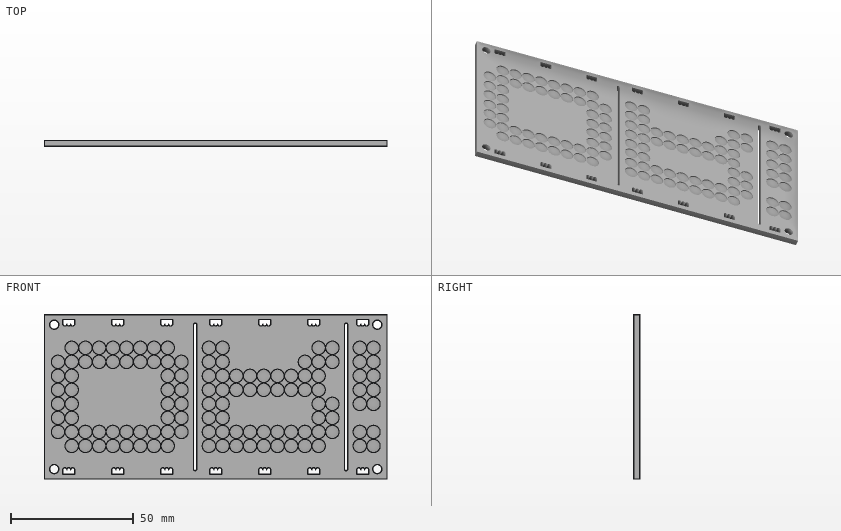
import cadquery as cq

LENGTH = 140.0
THICKNESS = 2.5
HEIGHT = 67.0

HOLE_DIAMETER = 3.6
HOLE_EDGE_DISTANCE = 4.0

RECESS_DIAMETER = 5.5
RECESS_DEPTH = 0.5
COLUMN_PITCH = 5.6
ROW_SPAN = 40.0

RECESS_MAP = [
    ".oooooooo.|oo......oo|oo",
    "oooooooooo|oo.....ooo|oo",
    "oo......oo|ooooooooo.|oo",
    "oo......oo|ooooooooo.|oo",
    "oo......oo|oo......oo|oo",
    "oo......oo|oo......oo|..",
    "oooooooooo|oooooooooo|oo",
    ".oooooooo.|ooooooooo.|oo",
]

SLOT_WIDTH = 1.3
SLOT_LENGTH = 60.2

WINDOW_COUNT = 7
WINDOW_PITCH = LENGTH / WINDOW_COUNT
WINDOW_WIDTH = 4.8
WINDOW_STRAIGHT_HEIGHT = 1.8
WINDOW_EDGE_DISTANCE = 2.0
LOBE_COUNT = 3


def front_plane():
    """Sketch plane on the front face: local x is X, local y is Z, the normal is -Y."""
    return cq.Workplane("XZ", origin=(0, -THICKNESS / 2, 0))


def column_x(column):
    last_column = len(RECESS_MAP[0]) - 1
    return (column - last_column / 2) * COLUMN_PITCH


def row_z(row):
    last_row = len(RECESS_MAP) - 1
    return ROW_SPAN / 2 - row * ROW_SPAN / last_row


def grid_points(mark):
    """Centres of all grid places that carry the given mark."""
    return [
        (column_x(column), row_z(row))
        for row, line in enumerate(RECESS_MAP)
        for column, place in enumerate(line)
        if place == mark
    ]


def corner_holes():
    spacing_x = LENGTH - 2 * HOLE_EDGE_DISTANCE
    spacing_z = HEIGHT - 2 * HOLE_EDGE_DISTANCE
    return (
        front_plane()
        .rect(spacing_x, spacing_z, forConstruction=True)
        .vertices()
        .circle(HOLE_DIAMETER / 2)
        .extrude(-THICKNESS)
    )


def recesses():
    return front_plane().pushPoints(grid_points("o")).circle(RECESS_DIAMETER / 2).extrude(-RECESS_DEPTH)


def dividing_slots():
    centres = [(column_x(column), 0) for column, place in enumerate(RECESS_MAP[0]) if place == "|"]
    return front_plane().pushPoints(centres).slot2D(SLOT_LENGTH, SLOT_WIDTH, 90).extrude(-THICKNESS)


def edge_window(center_x, side):
    """Rectangle with semicircular lobes towards the plate centre; side is 1 at the top, -1 at the bottom."""
    left = center_x - WINDOW_WIDTH / 2
    right = center_x + WINDOW_WIDTH / 2
    outer_z = side * (HEIGHT / 2 - WINDOW_EDGE_DISTANCE)
    cusp_z = outer_z - side * WINDOW_STRAIGHT_HEIGHT
    lobe_radius = WINDOW_WIDTH / LOBE_COUNT / 2
    outline = front_plane().moveTo(left, cusp_z).lineTo(left, outer_z)
    outline = outline.lineTo(right, outer_z).lineTo(right, cusp_z)
    for lobe in range(LOBE_COUNT):
        lobe_x = right - (2 * lobe + 1) * lobe_radius
        outline = outline.threePointArc((lobe_x, cusp_z - side * lobe_radius), (lobe_x - lobe_radius, cusp_z))
    return outline.close().extrude(-THICKNESS)


plate = cq.Workplane("XY").box(LENGTH, THICKNESS, HEIGHT)
plate = plate.cut(corner_holes()).cut(dividing_slots()).cut(recesses())
for window in range(WINDOW_COUNT):
    window_x = (window - (WINDOW_COUNT - 1) / 2) * WINDOW_PITCH
    for edge_side in (1, -1):
        plate = plate.cut(edge_window(window_x, edge_side))

result = plate